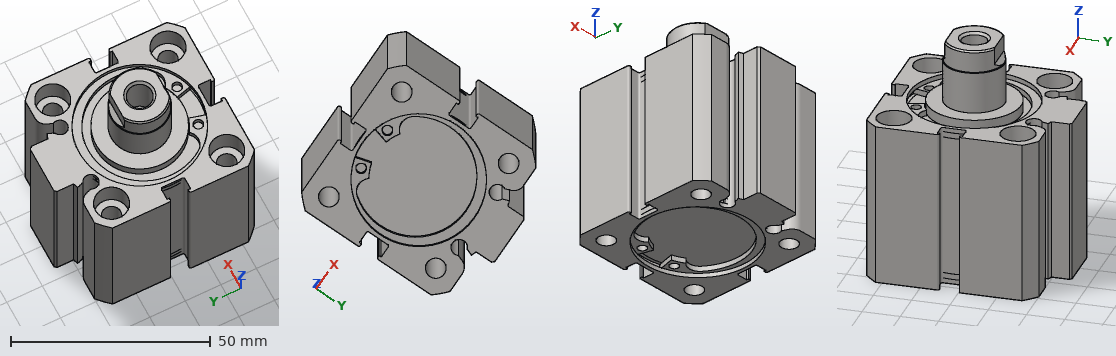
import cadquery as cq
import math


total_height = 60.0
housing_width = 45.0
housing_height = 43.0
housing_half = housing_width / 2
corner_radius = 29.5

rail_width = 14.15
rail_top = 27.5
rail_chamfer = 0.6

sensor_x = 8.5
sensor_y = 18.05
sensor_radius = 2.05
sensor_mouth = 2.7
sensor_tilt = math.radians(20)
sensor_lip_height = 3.4
shoulder_radius = 3.0

slot_depth = 4.5
slot_width = 6.6
slot_neck = 5.3
slot_lip = 0.95
slot_fillet = 0.5

bolt_spacing = 32.4
bolt_radius = 2.6
bolt_head_radius = 4.5
bolt_head_depth = 7.0

bore_radius = 17.0
groove_radius = 17.95
groove_inset = 1.25
groove_width = 1.5
cover_inset = groove_inset + groove_width

ring_opening_radius = 15.4
ring_opening_shift = 1.0
ring_lobe_x = 9.55
ring_lobe_radius = 3.55
ear_inner_radius = 12.5
ear_hole_radius = 1.3
ear_hole_pitch_radius = 14.7
ear_hole_angle = math.radians(23.5)
ring_gap_angle = math.radians(15)

cover_thickness = 6.0
collar_radius = 12.25

rod_radius = 8.0
rod_tip_radius = 7.8
rod_tip_length = 5.8
rod_step_chamfer = rod_radius - rod_tip_radius
rod_tip_chamfer = 0.4
flat_half_width = 6.5
flat_length = 4.5
thread_radius = 3.35
thread_mouth_radius = 4.0
thread_depth = 13.0
drill_half_angle = math.radians(59)


def cylinder(radius, bottom, height):
    return cq.Workplane("XY").workplane(offset=bottom).circle(radius).extrude(height)


def polar(radius, angle):
    """Point at a radius, with the angle measured from -Y towards +X."""
    return (radius * math.sin(angle), -radius * math.cos(angle))


def mirrored(point):
    return (-point[0], point[1])



def sensor_point(across, along):
    """Point of the right sensor slot, measured across and along its tilted mouth."""
    return (
        sensor_x + across * math.cos(sensor_tilt) + along * math.sin(sensor_tilt),
        sensor_y - across * math.sin(sensor_tilt) + along * math.cos(sensor_tilt),
    )


def half_profile():
    """Right half of the housing section, without the T-slots."""
    corner_flat = math.sqrt(corner_radius**2 - housing_half**2)
    corner_middle = corner_radius * math.sqrt(0.5)

    half_mouth = sensor_mouth / 2
    mouth_start = math.sqrt(sensor_radius**2 - half_mouth**2)
    lip_tip = sensor_point(-half_mouth, sensor_lip_height)
    half_rail = rail_width / 2
    lip_root_y = lip_tip[1] + (lip_tip[0] - half_rail) * math.tan(sensor_tilt)

    shoulder_y = housing_half - shoulder_radius
    wall_x, wall_y = sensor_point(half_mouth, 0)
    shoulder_x = (
        wall_x + (shoulder_y - wall_y) * math.tan(sensor_tilt) + shoulder_radius / math.cos(sensor_tilt)
    )

    def shoulder_point(angle):
        return (
            shoulder_x - shoulder_radius * math.cos(angle),
            shoulder_y + shoulder_radius * math.sin(angle),
        )

    shoulder_middle = (sensor_tilt + math.pi / 2) / 2

    return (
        cq.Workplane("XY")
        .moveTo(0, -housing_half)
        .lineTo(corner_flat, -housing_half)
        .threePointArc((corner_middle, -corner_middle), (housing_half, -corner_flat))
        .lineTo(housing_half, corner_flat)
        .threePointArc((corner_middle, corner_middle), (corner_flat, housing_half))
        .lineTo(shoulder_x, housing_half)
        .threePointArc(shoulder_point(shoulder_middle), shoulder_point(sensor_tilt))
        .lineTo(*sensor_point(half_mouth, mouth_start))
        .threePointArc(sensor_point(0, -sensor_radius), sensor_point(-half_mouth, mouth_start))
        .lineTo(*lip_tip)
        .lineTo(half_rail, lip_root_y)
        .lineTo(half_rail, rail_top - rail_chamfer)
        .lineTo(half_rail - rail_chamfer, rail_top)
        .lineTo(0, rail_top)
        .close()
    )


def t_slot():
    """Cutter for the T-slot in the -Y side."""
    outer_y = -housing_half
    floor_y = outer_y + slot_depth
    lip_y = outer_y + slot_lip
    half_slot = slot_width / 2
    half_neck = slot_neck / 2
    arc_rise = slot_fillet * (1 - math.sqrt(0.5))
    right_half = (
        cq.Workplane("XY")
        .moveTo(0, outer_y)
        .lineTo(half_neck + slot_fillet, outer_y)
        .threePointArc((half_neck + arc_rise, outer_y + arc_rise), (half_neck, outer_y + slot_fillet))
        .lineTo(half_neck, lip_y)
        .lineTo(half_slot, lip_y)
        .lineTo(half_slot, floor_y - slot_fillet)
        .threePointArc((half_slot - arc_rise, floor_y - arc_rise), (half_slot - slot_fillet, floor_y))
        .lineTo(0, floor_y)
        .close()
        .extrude(housing_height)
    )
    return right_half.union(right_half.mirror("YZ"))


def make_housing():
    right_half = half_profile().extrude(housing_height)
    housing = right_half.union(right_half.mirror("YZ"))

    for angle in (-90, 0, 90):
        housing = housing.cut(t_slot().rotate((0, 0, 0), (0, 0, 1), angle))

    housing = (
        housing.cut(cylinder(bore_radius, 0, housing_height))
        .cut(cylinder(groove_radius, groove_inset, groove_width))
        .cut(cylinder(groove_radius, housing_height - cover_inset, groove_width))
    )

    return (
        housing.faces(">Z")
        .workplane(origin=(0, 0, housing_height))
        .rect(bolt_spacing, bolt_spacing, forConstruction=True)
        .vertices()
        .cboreHole(2 * bolt_radius, 2 * bolt_head_radius, bolt_head_depth)
    )



def make_retaining_ring(bottom):
    lobe_reach = ring_opening_radius - ring_lobe_radius
    lobe_drop = math.sqrt(lobe_reach**2 - ring_lobe_x**2)
    lobe_y = -ring_opening_shift - lobe_drop
    lobe_low = (ring_lobe_x, lobe_y - ring_lobe_radius)
    growth = ring_opening_radius / lobe_reach
    lobe_start = (ring_lobe_x * growth, -ring_opening_shift - lobe_drop * growth)

    lobe_distance = math.hypot(ring_lobe_x, lobe_y)
    lobe_angle = math.atan2(ring_lobe_x, -lobe_y)
    ear_spread = math.acos(
        (lobe_distance**2 + ear_inner_radius**2 - ring_lobe_radius**2)
        / (2 * lobe_distance * ear_inner_radius)
    )
    ear_end_angle = lobe_angle - ear_spread
    ear_end = polar(ear_inner_radius, ear_end_angle)
    ear_middle = polar(ear_inner_radius, (ear_end_angle + ring_gap_angle) / 2)
    gap_inner = polar(ear_inner_radius, ring_gap_angle)
    gap_outer = polar(groove_radius, ring_gap_angle)
    ear_hole = polar(ear_hole_pitch_radius, ear_hole_angle)

    ring = (
        cq.Workplane("XY")
        .workplane(offset=bottom)
        .moveTo(*gap_outer)
        .threePointArc((0, groove_radius), mirrored(gap_outer))
        .lineTo(*mirrored(gap_inner))
        .threePointArc(mirrored(ear_middle), mirrored(ear_end))
        .threePointArc(mirrored(lobe_low), mirrored(lobe_start))
        .threePointArc((0, ring_opening_radius - ring_opening_shift), lobe_start)
        .threePointArc(lobe_low, ear_end)
        .threePointArc(ear_middle, gap_inner)
        .close()
        .extrude(groove_width)
    )
    holes = (
        cq.Workplane("XY")
        .workplane(offset=bottom)
        .pushPoints([ear_hole, mirrored(ear_hole)])
        .circle(ear_hole_radius)
        .extrude(groove_width)
    )
    return ring.cut(holes)



def make_rod_cover():
    flange_top = housing_height - cover_inset
    flange_bottom = flange_top - cover_thickness
    flange = cylinder(bore_radius, flange_bottom, cover_thickness)
    collar = cylinder(collar_radius, flange_top, cover_inset)
    rod_hole = cylinder(rod_radius, flange_bottom, cover_thickness + cover_inset)
    return flange.union(collar).cut(rod_hole)


def make_head_cover():
    return cylinder(bore_radius, cover_inset, cover_thickness)



def wrench_flat():
    """Cutter for the flat on the +Y side of the rod tip, with a 45 degree run-out."""
    flat_end = total_height - flat_length
    run_out = rod_radius - flat_half_width
    return (
        cq.Workplane("YZ")
        .moveTo(flat_half_width, total_height)
        .lineTo(flat_half_width, flat_end)
        .lineTo(rod_radius, flat_end - run_out)
        .lineTo(rod_radius, total_height)
        .close()
        .extrude(rod_radius, both=True)
    )


def make_rod():
    rod_bottom = cover_inset + cover_thickness
    step_top = total_height - rod_tip_length
    mouth_depth = thread_mouth_radius - thread_radius
    thread_end = total_height - thread_depth
    drill_tip = thread_end - thread_radius / math.tan(drill_half_angle)

    rod = (
        cq.Workplane("XZ")
        .moveTo(0, rod_bottom)
        .lineTo(rod_radius, rod_bottom)
        .lineTo(rod_radius, step_top - rod_step_chamfer)
        .lineTo(rod_tip_radius, step_top)
        .lineTo(rod_tip_radius, total_height - rod_tip_chamfer)
        .lineTo(rod_tip_radius - rod_tip_chamfer, total_height)
        .lineTo(thread_mouth_radius, total_height)
        .lineTo(thread_radius, total_height - mouth_depth)
        .lineTo(thread_radius, thread_end)
        .lineTo(0, drill_tip)
        .close()
        .revolve(360, (0, 0, 0), (0, 1, 0))
    )
    return rod.cut(wrench_flat()).cut(wrench_flat().mirror("XZ"))


housing = make_housing()
rod = make_rod()
rod_cover = make_rod_cover()
head_cover = make_head_cover()
ring_bottoms = [groove_inset, housing_height - cover_inset]
retaining_rings = [make_retaining_ring(bottom) for bottom in ring_bottoms]

result = cq.Compound.makeCompound([
    housing.val(),
    rod.val(),
    rod_cover.val(),
    head_cover.val(),
    *[ring.val() for ring in retaining_rings],
])